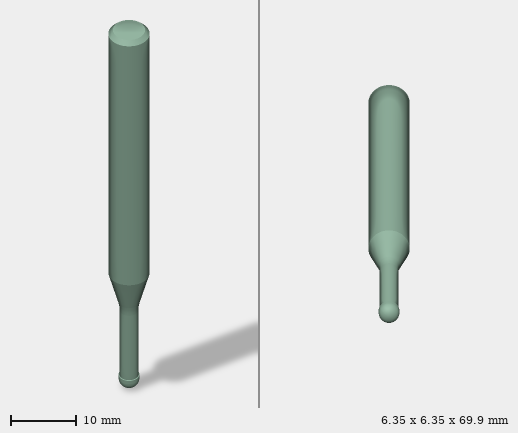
import cadquery as cq
import math

total_length = 69.9
shank_radius = 6.35 / 2
shank_chamfer = 0.7

head_radius = 3.2 / 2
head_length = 2.25

neck_radius = 2.9 / 2
neck_top = 14.9
taper_half_angle = math.radians(15)
blend_radius = 6.5

blend_top = neck_top + blend_radius * math.sin(taper_half_angle)
blend_top_radius = neck_radius + blend_radius * (1 - math.cos(taper_half_angle))
blend_mid = neck_top + blend_radius * math.sin(taper_half_angle / 2)
blend_mid_radius = neck_radius + blend_radius * (1 - math.cos(taper_half_angle / 2))
taper_top = blend_top + (shank_radius - blend_top_radius) / math.tan(taper_half_angle)


def revolve_about_z(half_profile):
    """Turn a closed XZ half profile once around the Z axis."""
    return half_profile.revolve(360, (0, 0, 0), (0, 1, 0))


def make_ball_head():
    """Hemispherical tip with a short cylinder above it, standing on Z = 0."""
    diagonal = head_radius * math.sqrt(0.5)
    half_profile = (
        cq.Workplane("XZ")
        .moveTo(0, 0)
        .threePointArc((diagonal, head_radius - diagonal), (head_radius, head_radius))
        .lineTo(head_radius, head_length)
        .lineTo(0, head_length)
        .close()
    )
    return revolve_about_z(half_profile)


def make_shank():
    """Slim neck, tangent blend, tapered shoulder and chamfered shank above the head."""
    half_profile = (
        cq.Workplane("XZ")
        .moveTo(0, head_length)
        .lineTo(neck_radius, head_length)
        .lineTo(neck_radius, neck_top)
        .threePointArc((blend_mid_radius, blend_mid), (blend_top_radius, blend_top))
        .lineTo(shank_radius, taper_top)
        .lineTo(shank_radius, total_length - shank_chamfer)
        .lineTo(shank_radius - shank_chamfer, total_length)
        .lineTo(0, total_length)
        .close()
    )
    return revolve_about_z(half_profile)


ball_head = make_ball_head()
shank = make_shank()

result = cq.Compound.makeCompound([ball_head.val(), shank.val()])